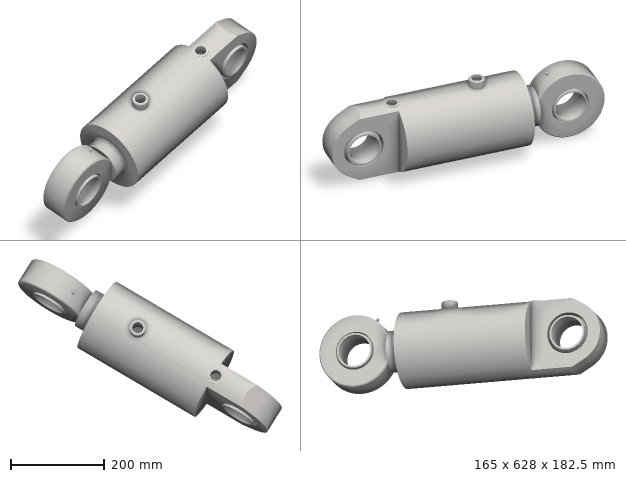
import cadquery as cq
import math


overall_length = 628.0
eye_thickness = 59.5

barrel_diameter = 165.0
barrel_front_y = -373.0
eye_flat_end_y = -80.0
eye_tip_y = 73.0
eye_tip_radius = 71.5
eye_tip_slope = 30.0

gland_base_diameter = 95.5
gland_tip_diameter = 91.0
gland_length = 3.0

port_diameter = 35.0
port_hole_diameter = 24.0
port_boss_root_depth = 6.0
port_hole_depth = 25.0
drill_point_angle = 118.0
rear_port_y = -75.5
front_port_y = -271.0
front_port_height = 17.5
front_port_chamfer = 2.0

rod_diameter = 90.0
rod_front_y = -402.0
rod_inner_y = -125.5
rod_eye_diameter = 160.0
rod_eye_chamfer = 2.5

ring_bore_diameter = 70.0
ring_shoulder_diameter = 78.0
ring_sphere_diameter = 92.5
ring_width = 68.0
barrel_eye_hole_diameter = 91.0
rod_eye_hole_diameter = 85.0

nipple_angle = 60.0
nipple_root_depth = 3.0
nipple_neck_diameter = 4.0
nipple_head_diameter = 6.0
nipple_tip_diameter = 3.0
nipple_neck_length = 2.5
nipple_head_length = 5.0
nipple_cone_length = 2.5

barrel_radius = barrel_diameter / 2
rod_eye_y = eye_tip_y - overall_length + rod_eye_diameter / 2


def cylinder_x(diameter, length, y=0):
    """Cylinder along X, centred on X = 0, with its axis at the given Y."""
    return (
        cq.Workplane("YZ").center(y, 0).circle(diameter / 2)
        .extrude(length / 2, both=True)
    )


def cylinder_y(diameter, y_start, y_end):
    """Cylinder along the Y axis between two Y positions."""
    return (
        cq.Workplane("XZ", origin=(0, y_start, 0)).circle(diameter / 2)
        .extrude(y_start - y_end)
    )


def eye_cutter(hole_diameter, y):
    """Through hole of an eye, widened inside to the spherical bearing seat."""
    hole_radius = hole_diameter / 2
    seat_radius = ring_sphere_diameter / 2
    seat_half_width = math.sqrt(seat_radius**2 - hole_radius**2)
    return (
        cq.Workplane("XY")
        .moveTo(-eye_thickness, 0)
        .lineTo(-eye_thickness, hole_radius)
        .lineTo(-seat_half_width, hole_radius)
        .threePointArc((0, seat_radius), (seat_half_width, hole_radius))
        .lineTo(eye_thickness, hole_radius)
        .lineTo(eye_thickness, 0)
        .close()
        .revolve(360, (0, 0, 0), (1, 0, 0))
        .translate((0, y, 0))
    )


def eye_envelope():
    """Side outline of the barrel: arc tip, two sloped flats, then straight."""
    slope = math.radians(eye_tip_slope)
    arc_centre_y = eye_tip_y - eye_tip_radius
    tangent_y = arc_centre_y + eye_tip_radius * math.sin(slope)
    tangent_z = eye_tip_radius * math.cos(slope)
    shoulder_y = tangent_y - (barrel_radius - tangent_z) / math.tan(slope)
    return (
        cq.Workplane("YZ")
        .moveTo(barrel_front_y, -barrel_radius)
        .lineTo(shoulder_y, -barrel_radius)
        .lineTo(tangent_y, -tangent_z)
        .threePointArc((eye_tip_y, 0), (tangent_y, tangent_z))
        .lineTo(shoulder_y, barrel_radius)
        .lineTo(barrel_front_y, barrel_radius)
        .close()
        .extrude(barrel_radius, both=True)
    )


def eye_side_cut(side):
    """Block that leaves a flat on one side (+1 or -1) of the barrel eye."""
    length = eye_tip_y - eye_flat_end_y
    centre_x = side * (eye_thickness + barrel_radius) / 2
    return (
        cq.Workplane("XY", origin=(centre_x, eye_flat_end_y, 0))
        .box(barrel_radius, length, barrel_diameter, centered=(True, False, True))
    )


def port_boss(y, height):
    """Round boss rising from inside the barrel wall to a height above its top line."""
    root_z = barrel_radius - port_boss_root_depth
    return (
        cq.Workplane("XY", origin=(0, y, root_z)).circle(port_diameter / 2)
        .extrude(barrel_radius + height - root_z)
    )


def port_hole(y):
    """Blind drilled port with a conical bottom, open at the top."""
    hole_radius = port_hole_diameter / 2
    shoulder_z = barrel_radius - port_hole_depth
    point_z = shoulder_z - hole_radius / math.tan(math.radians(drill_point_angle / 2))
    top_z = barrel_radius + 2 * front_port_height
    return (
        cq.Workplane("XZ", origin=(0, y, 0))
        .polyline([(0, point_z), (hole_radius, shoulder_z), (hole_radius, top_z), (0, top_z)])
        .close()
        .revolve(360, (0, 0, 0), (0, 1, 0))
    )


def make_barrel():
    body = cylinder_y(barrel_diameter, eye_tip_y, barrel_front_y).intersect(eye_envelope())
    for side in (-1, 1):
        body = body.cut(eye_side_cut(side))
    gland = (
        cq.Workplane("XZ", origin=(0, barrel_front_y, 0)).circle(gland_base_diameter / 2)
        .workplane(offset=gland_length).circle(gland_tip_diameter / 2).loft()
    )
    front_boss = port_boss(front_port_y, front_port_height)
    front_boss = front_boss.faces(">Z").edges().chamfer(front_port_chamfer)
    body = body.union(gland).union(front_boss).union(port_boss(rear_port_y, 0))
    for port_y in (rear_port_y, front_port_y):
        body = body.cut(port_hole(port_y))
    body = body.cut(cylinder_y(rod_diameter, rod_inner_y, barrel_front_y - gland_length))
    return body.cut(eye_cutter(barrel_eye_hole_diameter, 0))


def grease_nipple():
    """Nipple standing radially on the rod eye, rooted inside the eye rim."""
    root = rod_eye_diameter / 2 - nipple_root_depth
    neck_end = rod_eye_diameter / 2 + nipple_neck_length
    head_end = neck_end + nipple_head_length
    tip = head_end + nipple_cone_length
    profile = [
        (0, root),
        (nipple_neck_diameter / 2, root),
        (nipple_neck_diameter / 2, neck_end),
        (nipple_head_diameter / 2, neck_end),
        (nipple_head_diameter / 2, head_end),
        (nipple_tip_diameter / 2, tip),
        (0, tip),
    ]
    nipple = cq.Workplane("XZ").polyline(profile).close().revolve(360, (0, 0, 0), (0, 1, 0))
    nipple = nipple.rotate((0, 0, 0), (1, 0, 0), nipple_angle - 90)
    return nipple.translate((0, rod_eye_y, 0))


def make_rod():
    eye = cylinder_x(rod_eye_diameter, eye_thickness, rod_eye_y)
    eye = eye.faces("<X or >X").edges().chamfer(rod_eye_chamfer)
    shaft = cylinder_y(rod_diameter, rod_inner_y, rod_front_y)
    body = eye.union(shaft).union(grease_nipple())
    return body.cut(eye_cutter(rod_eye_hole_diameter, rod_eye_y))


def make_bearing_ring(y):
    """Inner ring of a spherical bearing: a ball zone between cylindrical shoulders."""
    bore_radius = ring_bore_diameter / 2
    shoulder_radius = ring_shoulder_diameter / 2
    ball_radius = ring_sphere_diameter / 2
    ball_half_width = math.sqrt(ball_radius**2 - shoulder_radius**2)
    half_width = ring_width / 2
    return (
        cq.Workplane("XY")
        .moveTo(-half_width, bore_radius)
        .lineTo(-half_width, shoulder_radius)
        .lineTo(-ball_half_width, shoulder_radius)
        .threePointArc((0, ball_radius), (ball_half_width, shoulder_radius))
        .lineTo(half_width, shoulder_radius)
        .lineTo(half_width, bore_radius)
        .close()
        .revolve(360, (0, 0, 0), (1, 0, 0))
        .translate((0, y, 0))
    )


barrel = make_barrel()
rod = make_rod()
bearing_rings = [make_bearing_ring(y) for y in (0, rod_eye_y)]

result = cq.Compound.makeCompound(
    [barrel.val(), rod.val(), *[ring.val() for ring in bearing_rings]]
)